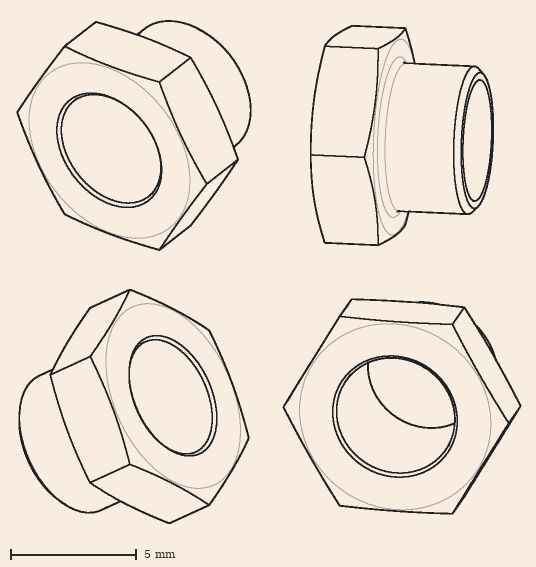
import cadquery as cq
import math

across_corners = 9.18
total_length = 5.87
head_thickness = 2.55
shank_diameter = 5.89
bore_diameter = 4.82

head_face_diameter = 7.79
head_chamfer_angle = 15.0
shank_end_chamfer = 0.25
root_fillet_radius = 0.25
bore_mouth_chamfer = 0.13

corner_radius = across_corners / 2
face_radius = head_face_diameter / 2
shank_radius = shank_diameter / 2
bore_radius = bore_diameter / 2


def revolve_about_y(profile):
    """Turn a closed radius-length profile around the Y axis."""
    return profile.close().revolve(360, (0, 0, 0), (0, 1, 0))


def make_head():
    """Hexagonal head with its corners chamfered on both faces."""
    hexagon = (
        cq.Workplane("XZ")
        .polygon(6, across_corners)
        .extrude(-head_thickness)
    )
    corner_drop = (corner_radius - face_radius) * math.tan(math.radians(head_chamfer_angle))
    chamfer_envelope = revolve_about_y(
        cq.Workplane("XY")
        .lineTo(face_radius, 0)
        .lineTo(corner_radius, corner_drop)
        .lineTo(corner_radius, head_thickness - corner_drop)
        .lineTo(face_radius, head_thickness)
        .lineTo(0, head_thickness)
    )
    return hexagon.intersect(chamfer_envelope)


def make_shank():
    """Round shank with a filleted root and a chamfered free end."""
    return revolve_about_y(
        cq.Workplane("XY")
        .lineTo(shank_radius + root_fillet_radius, 0)
        .lineTo(shank_radius + root_fillet_radius, head_thickness)
        .radiusArc((shank_radius, head_thickness + root_fillet_radius), root_fillet_radius)
        .lineTo(shank_radius, total_length - shank_end_chamfer)
        .lineTo(shank_radius - shank_end_chamfer, total_length)
        .lineTo(0, total_length)
    )


def make_bore():
    """Through bore, chamfered where it opens on the hex face."""
    return revolve_about_y(
        cq.Workplane("XY")
        .lineTo(bore_radius + bore_mouth_chamfer, 0)
        .lineTo(bore_radius, bore_mouth_chamfer)
        .lineTo(bore_radius, total_length)
        .lineTo(0, total_length)
    )


result = make_head().union(make_shank()).cut(make_bore())